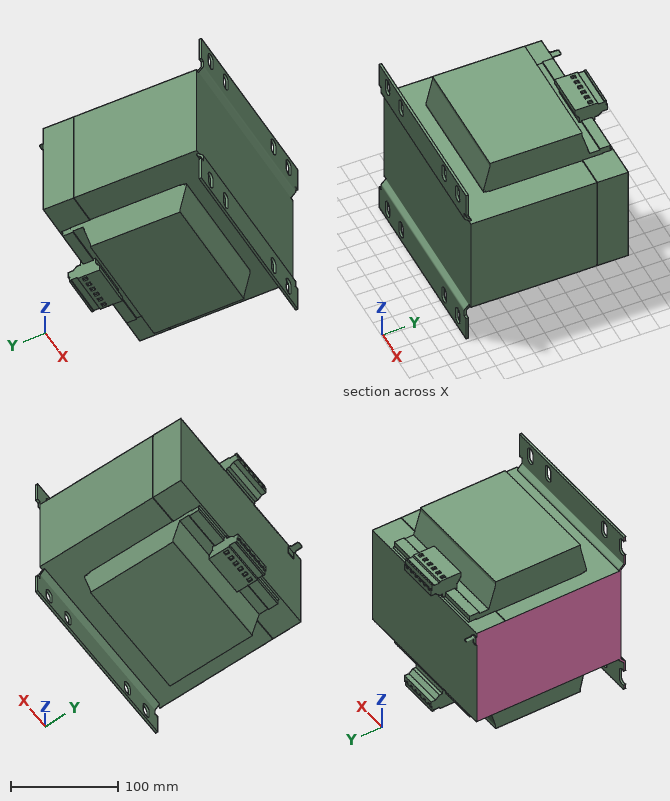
import cadquery as cq
import math


core_width = 192.0
core_length = 160.0
core_height = 110.0
yoke = core_width / 6
leg_inner_x = core_width / 2 - yoke
air_gap = 0.5
core_top = core_height / 2

plate_thickness = 2.5
plate_offset = 5.0
plate_height = 189.0
bend_angle = 45.0
bend_radius = 0.5
notch_depth = 4.2
notch_end_z = 67.4
slot_width = 9.0
slot_length = 18.2
slot_z = 80.4
slot_columns = (47.5, 77.5)

core_front = plate_offset + plate_thickness
core_back = core_front + core_length
window_front = core_front + yoke
window_back = core_back - yoke

winding_gap = 0.5
winding_width = 2 * (leg_inner_x - winding_gap)
winding_top = 91.0
flange_clearance = 0.7
flange_base = core_top + flange_clearance
shelf_z = 60.8
seat_z = 62.4
seat_front = 153.4
seat_back = 164.2
lip_z = 57.3
lip_back = 165.6

terminal_count = 6
terminal_pitch = 7.36
strip_width = 45.1
strip_back = 180.3
strip_top = 78.8
ledge_z = 72.4
ledge_y = 179.0
pocket_width = 3.5
pocket_length = 4.4
pocket_depth = 2.0
pocket_y = 164.3
entry_width = 2.2
entry_depth = 2.0

tab_x = -79.5
tab_thickness = 0.8
tab_z = 49.9
blade_width = 6.8
blade_end = 178.9
blade_tip_chamfer = 1.0
foot_width = 8.6
foot_bottom = 40.2
shoulder_y = 170.6


def box(x_min, x_max, y_min, y_max, z_min, z_max):
    """Axis-aligned block given by its limits."""
    size = (x_max - x_min, y_max - y_min, z_max - z_min)
    return cq.Workplane("XY").box(*size, centered=False).translate((x_min, y_min, z_min))


def profile_along_x(points, width):
    """Closed (y, z) outline extruded symmetrically about X = 0."""
    return cq.Workplane("YZ").polyline(points).close().extrude(width / 2, both=True)


def with_mirror(solid):
    """Solid together with its image below the middle plane Z = 0."""
    return solid.union(solid.mirror("XY"))


def make_core():
    """Lamination block with clearance beside the winding body and the E-I joint."""
    half_width = core_width / 2
    core = box(-half_width, half_width, core_front, core_back, -core_top, core_top)
    winding_side = winding_width / 2
    side_gap = box(winding_side, leg_inner_x, window_front, window_back, -core_top, core_top)
    joint = box(winding_side, half_width, window_back - air_gap, window_back, -core_top, core_top)
    gaps = side_gap.union(joint)
    return core.cut(gaps).cut(gaps.mirror("YZ"))


def make_winding_end():
    """Upper overhang of the winding body with the shelf for the terminals."""
    front = 33.3
    front_contact = 35.5
    front_slope_z = 58.6
    body_front = 39.9
    straight_top = 3.7
    body_back = 135.0
    shelf_front = 142.8
    back_contact = 156.5
    outline = [
        (front_contact, core_top),
        (front_contact, flange_base),
        (front, flange_base),
        (front, front_slope_z),
        (body_front, winding_top - straight_top),
        (body_front, winding_top),
        (body_back, winding_top),
        (body_back, winding_top - straight_top),
        (shelf_front, shelf_z),
        (seat_front, shelf_z),
        (seat_front, seat_z),
        (seat_back, seat_z),
        (seat_back, lip_z),
        (lip_back, flange_base),
        (back_contact, flange_base),
        (back_contact, core_top),
    ]
    return profile_along_x(outline, winding_width)


def make_terminal_strip():
    """Upper terminal strip, seated on the winding body's raised strip."""
    neck_front = 151.1
    neck_top = 66.8
    overhang_front = 146.8
    overhang_z = 73.4
    top_back = 170.1
    recess_front = 170.9
    recess_z = 77.2
    rim_front = 177.0
    rim_taper = 0.2
    rim_z = 78.2
    nose_z = 65.8
    nose_front = 175.2
    chin_back = 170.8
    chin_z = 61.7
    hook_back = 167.5
    hook_taper = 0.5
    outline = [
        (neck_front, shelf_z),
        (neck_front, neck_top),
        (overhang_front, overhang_z),
        (overhang_front, strip_top),
        (top_back, strip_top),
        (recess_front, recess_z),
        (rim_front, recess_z),
        (rim_front + rim_taper, rim_z),
        (ledge_y, rim_z),
        (ledge_y, ledge_z),
        (strip_back, ledge_z),
        (strip_back, nose_z),
        (nose_front, nose_z),
        (chin_back, chin_z),
        (hook_back, chin_z),
        (hook_back - hook_taper, lip_z),
        (seat_back, lip_z),
        (seat_back, shelf_z),
    ]
    strip = profile_along_x(outline, strip_width)
    for index in range(terminal_count):
        x = (index - (terminal_count - 1) / 2) * terminal_pitch
        pocket = box(
            x - pocket_width / 2, x + pocket_width / 2,
            pocket_y - pocket_length / 2, pocket_y + pocket_length / 2,
            strip_top - pocket_depth, strip_top,
        )
        entry = box(
            x - entry_width / 2, x + entry_width / 2,
            ledge_y, strip_back,
            ledge_z - entry_depth, ledge_z,
        )
        strip = strip.cut(pocket).cut(entry)
    return strip


def make_plate_flange():
    """Upper half of the plate: web, joggle and flange with slots."""
    half_thickness = plate_thickness / 2
    half_bend_tangent = math.tan(math.radians(bend_angle / 2))
    corner_shift = half_thickness * half_bend_tangent
    lower_bend = core_top + (bend_radius + half_thickness) * half_bend_tangent
    upper_bend = lower_bend + plate_offset / math.tan(math.radians(bend_angle))
    flange_top = plate_height / 2
    outline = [
        (plate_offset, 0),
        (plate_offset, lower_bend - corner_shift),
        (0, upper_bend - corner_shift),
        (0, flange_top),
        (plate_thickness, flange_top),
        (plate_thickness, upper_bend + corner_shift),
        (core_front, lower_bend + corner_shift),
        (core_front, 0),
    ]
    plate = profile_along_x(outline, core_width)

    def bend_edge(y, z):
        return cq.selectors.NearestToPointSelector((0, y, z))

    outer_radius = bend_radius + plate_thickness
    plate = plate.edges(bend_edge(plate_offset, lower_bend - corner_shift)).fillet(bend_radius)
    plate = plate.edges(bend_edge(plate_thickness, upper_bend + corner_shift)).fillet(bend_radius)
    plate = plate.edges(bend_edge(0, upper_bend - corner_shift)).fillet(outer_radius)
    plate = plate.edges(bend_edge(core_front, lower_bend + corner_shift)).fillet(outer_radius)

    half_width = core_width / 2
    notch = box(half_width - notch_depth, half_width, 0, core_front, core_top, notch_end_z)
    plate = plate.cut(notch).cut(notch.mirror("YZ"))

    slot_places = [(side * x, slot_z) for x in slot_columns for side in (-1, 1)]
    slots = (
        cq.Workplane("XZ")
        .pushPoints(slot_places)
        .slot2D(slot_length, slot_width, 90)
        .extrude(-plate_thickness)
    )
    return plate.cut(slots)


def make_earth_tab():
    """Angled tab: a foot on the back of the core and a projecting blade."""
    half_foot = foot_width / 2
    half_blade = blade_width / 2
    blade_top = tab_z + tab_thickness / 2
    foot = box(
        tab_x - half_foot, tab_x + half_foot,
        core_back, core_back + tab_thickness,
        foot_bottom, blade_top,
    )
    base = box(
        tab_x - half_foot, tab_x + half_foot,
        core_back, shoulder_y,
        blade_top - tab_thickness, blade_top,
    )
    blade = box(
        tab_x - half_blade, tab_x + half_blade,
        core_back, blade_end,
        blade_top - tab_thickness, blade_top,
    )
    blade = blade.edges("|Z and >Y").chamfer(blade_tip_chamfer)
    return foot.union(base).union(blade)


result = (
    make_core()
    .union(with_mirror(make_winding_end()))
    .union(with_mirror(make_terminal_strip()))
    .union(with_mirror(make_plate_flange()))
    .union(make_earth_tab())
)